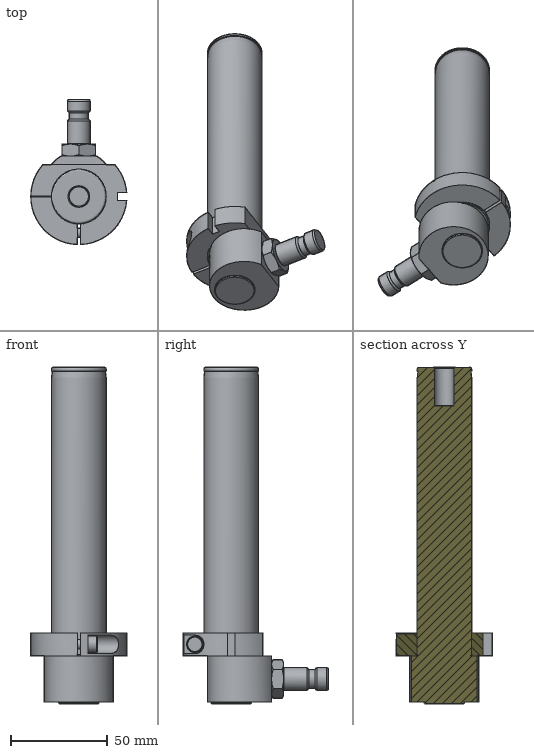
import cadquery as cq
import math

rod_dia = 28.5
rod_radius = rod_dia / 2
rod_top_z = 174.0
rod_bottom_chamfer = 0.7
top_round = 1.15
lip_bottom_depth = 2.0
neck_dia = 27.7
neck_top_depth = 2.2
neck_bottom_depth = 5.5
top_hole_dia = 10.0
top_hole_depth = 20.0
top_hole_chamfer = 0.6

housing_radius = 18.0
housing_height = 24.0
housing_center_y = 5.6
housing_flat_y = 21.0
plug_dia = 21.0
plug_height = 0.9
plug_chamfer = 0.5

connector_z = 12.0
hex_across_flats = 17.5
hex_end_y = 27.2
hex_chamfer_tan = math.tan(math.radians(30))
connector_dia = 12.0
connector_neck_dia = 10.0
barrel_base_bevel = 0.3
barrel_end_y = 39.3
connector_neck_start_y = 40.3
connector_neck_end_y = 43.5
head_start_y = 44.5
connector_end_y = 50.48
end_chamfer_width = 0.5
end_chamfer_length = 1.0

ring_radius = 25.0
ring_height = 12.0
ring_flat_y = 16.5
ring_mid_z = housing_height + ring_height / 2
ring_top_z = housing_height + ring_height
slit_width = 1.5
notch_width = 4.0
notch_floor_x = 20.2
mark_width = 0.4
mark_depth = 0.4

screw_y = -18.9
screw_dia = 5.0
screw_head_dia = 8.5
screw_head_length = 5.0
screw_head_chamfer = 0.5
screw_pocket_width = 9.5
screw_seat_x = 4.8


def make_rod():
    """Revolved rod with a rounded lip and a tapered neck under it, and a blind hole in its top."""
    rod = (
        cq.Workplane("XZ")
        .moveTo(0, housing_height)
        .lineTo(rod_radius - rod_bottom_chamfer, housing_height)
        .lineTo(rod_radius, housing_height + rod_bottom_chamfer)
        .lineTo(rod_radius, rod_top_z - neck_bottom_depth)
        .lineTo(neck_dia / 2, rod_top_z - neck_top_depth)
        .lineTo(rod_radius, rod_top_z - lip_bottom_depth)
        .lineTo(rod_radius, rod_top_z - top_round)
        .radiusArc((rod_radius - top_round, rod_top_z), -top_round)
        .lineTo(0, rod_top_z)
        .close()
        .revolve(360, (0, 0, 0), (0, 1, 0))
    )
    hole_radius = top_hole_dia / 2
    hole = (
        cq.Workplane("XZ")
        .moveTo(0, rod_top_z)
        .lineTo(hole_radius + top_hole_chamfer, rod_top_z)
        .lineTo(hole_radius, rod_top_z - top_hole_chamfer)
        .lineTo(hole_radius, rod_top_z - top_hole_depth)
        .lineTo(0, rod_top_z - top_hole_depth)
        .close()
        .revolve(360, (0, 0, 0), (0, 1, 0))
    )
    return rod.cut(hole)


def make_housing():
    """Eccentric drum with the connector flat, and the low plug under it."""
    drum = cq.Workplane("XY").center(0, housing_center_y).circle(housing_radius).extrude(housing_height)
    beyond_flat = (
        cq.Workplane("XY")
        .box(2 * housing_radius, housing_radius, housing_height, centered=(True, False, False))
        .translate((0, housing_flat_y, 0))
    )
    plug = (
        cq.Workplane("XY")
        .circle(plug_dia / 2)
        .extrude(-plug_height)
        .faces("<Z")
        .chamfer(plug_chamfer)
    )
    return drum.cut(beyond_flat).union(plug)


def make_hex():
    """Hexagon with two corners on a vertical line and both ends chamfered."""
    corner_radius = hex_across_flats / math.sqrt(3)
    flat_radius = hex_across_flats / 2
    chamfer_length = (corner_radius - flat_radius) * hex_chamfer_tan
    hexagon = (
        cq.Workplane("XZ", origin=(0, housing_flat_y, connector_z))
        .transformed(rotate=(0, 0, 90))
        .polygon(6, 2 * corner_radius)
        .extrude(housing_flat_y - hex_end_y)
    )
    chamfer_envelope = (
        cq.Workplane("XY", origin=(0, 0, connector_z))
        .moveTo(0, housing_flat_y)
        .lineTo(flat_radius, housing_flat_y)
        .lineTo(corner_radius, housing_flat_y + chamfer_length)
        .lineTo(corner_radius, hex_end_y - chamfer_length)
        .lineTo(flat_radius, hex_end_y)
        .lineTo(0, hex_end_y)
        .close()
        .revolve(360, (0, 0, 0), (0, 1, 0))
    )
    return hexagon.intersect(chamfer_envelope)


def make_connector_shaft():
    """Stepped round shaft: barrel bevelled at its base, narrow neck with sloped sides, and chamfered head."""
    outer = connector_dia / 2
    neck = connector_neck_dia / 2
    return (
        cq.Workplane("XY", origin=(0, 0, connector_z))
        .moveTo(0, housing_flat_y)
        .lineTo(outer - barrel_base_bevel, housing_flat_y)
        .lineTo(outer - barrel_base_bevel, hex_end_y)
        .lineTo(outer, hex_end_y + barrel_base_bevel)
        .lineTo(outer, barrel_end_y)
        .lineTo(neck, connector_neck_start_y)
        .lineTo(neck, connector_neck_end_y)
        .lineTo(outer, head_start_y)
        .lineTo(outer, connector_end_y - end_chamfer_length)
        .lineTo(outer - end_chamfer_width, connector_end_y)
        .lineTo(0, connector_end_y)
        .close()
        .revolve(360, (0, 0, 0), (0, 1, 0))
    )


def make_clamp_ring():
    """Split ring with a flat, a notch, an index mark, and the clamp screw fixed in it."""
    ring = (
        cq.Workplane("XY", origin=(0, 0, housing_height))
        .circle(ring_radius)
        .circle(rod_radius)
        .extrude(ring_height)
    )
    beyond_flat = (
        cq.Workplane("XY")
        .box(2 * ring_radius, ring_radius, ring_height, centered=(True, False, True))
        .translate((0, ring_flat_y, ring_mid_z))
    )
    slit = (
        cq.Workplane("XY")
        .box(slit_width, ring_radius, ring_height, centered=(True, False, True))
        .translate((0, -ring_radius, ring_mid_z))
    )
    notch = (
        cq.Workplane("XY")
        .box(ring_radius, notch_width, ring_height, centered=(False, True, True))
        .translate((notch_floor_x, 0, ring_mid_z))
    )
    index_mark = (
        cq.Workplane("XY")
        .box(ring_radius, mark_width, mark_depth, centered=(False, True, False))
        .translate((-ring_radius, 0, ring_top_z - mark_depth))
    )
    seat_plane = cq.Workplane("YZ", origin=(screw_seat_x, screw_y, ring_mid_z))
    pocket_bore = seat_plane.circle(screw_pocket_width / 2).extrude(ring_radius)
    pocket_mouth = (
        cq.Workplane("XY")
        .box(ring_radius, ring_radius, screw_pocket_width, centered=(False, False, True))
        .translate((screw_seat_x, screw_y - ring_radius, ring_mid_z))
    )
    screw_head = seat_plane.circle(screw_head_dia / 2).extrude(screw_head_length).faces(">X").chamfer(screw_head_chamfer)
    screw_shank = seat_plane.circle(screw_dia / 2).extrude(-2 * screw_seat_x)

    for cutter in (beyond_flat, slit, notch, index_mark, pocket_bore, pocket_mouth):
        ring = ring.cut(cutter)
    return ring.union(screw_head).union(screw_shank)


rod_unit = make_rod().union(make_housing()).union(make_hex()).union(make_connector_shaft())
clamp_ring = make_clamp_ring()

result = cq.Compound.makeCompound([rod_unit.val(), clamp_ring.val()])